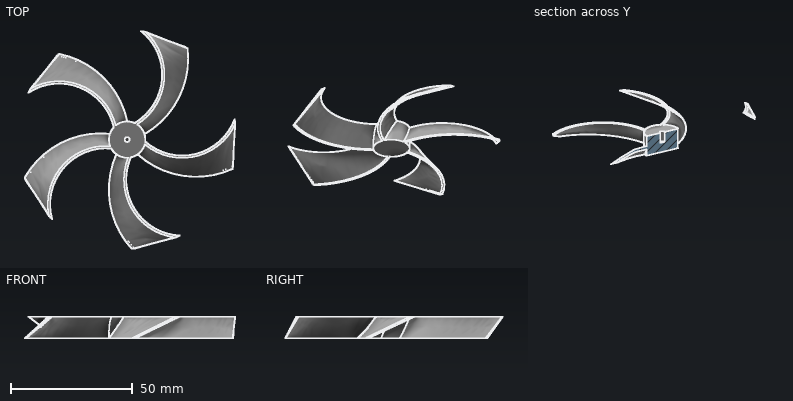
import cadquery as cq
import math

HEIGHT = 9.0
HUB_RADIUS = 7.5
BORE_RADIUS = 1.0
BORE_DEPTH = HEIGHT / 2

BLADE_COUNT = 5
BLADE_PITCH = 360.0 / BLADE_COUNT
BLADE_THICKNESS = 1.0
TIP_RADIUS = 45.0
ROOT_RADIUS = 6.0
STRIP_DIRECTION = BLADE_PITCH / 2

BOTTOM_ARC_RADIUS = 36.0
BOTTOM_CENTRE_DISTANCE = 35.1
TOP_ARC_RADIUS = 24.0
TOP_CENTRE_DISTANCE = 28.0


def polar(radius, angle):
    """Point at a polar radius and angle in degrees."""
    return radius * math.cos(math.radians(angle)), radius * math.sin(math.radians(angle))


def arc_point(radius, arc_radius, centre_distance):
    """Point where a strip arc crosses a circle of the given radius about the hub axis."""
    cosine = (radius**2 + centre_distance**2 - arc_radius**2) / (2 * radius * centre_distance)
    return polar(radius, STRIP_DIRECTION - math.degrees(math.acos(cosine)))


def arc_middle(start, end, arc_radius, centre):
    """Point on the strip arc halfway between its start and end."""
    offset_x = (start[0] + end[0]) / 2 - centre[0]
    offset_y = (start[1] + end[1]) / 2 - centre[1]
    stretch = arc_radius / math.hypot(offset_x, offset_y)
    return centre[0] + offset_x * stretch, centre[1] + offset_y * stretch


def circle_middle(start, end):
    """Point midway between two points of a circle about the hub axis."""
    return arc_middle(start, end, math.hypot(*start), (0, 0))


def strip_wire(arc_radius, centre_distance, z):
    """Closed outline between two concentric arcs, ended by the root and tip circles."""
    inner_radius = arc_radius - BLADE_THICKNESS
    centre = polar(centre_distance, STRIP_DIRECTION)
    outer_root = arc_point(ROOT_RADIUS, arc_radius, centre_distance)
    outer_tip = arc_point(TIP_RADIUS, arc_radius, centre_distance)
    inner_root = arc_point(ROOT_RADIUS, inner_radius, centre_distance)
    inner_tip = arc_point(TIP_RADIUS, inner_radius, centre_distance)
    outline = (
        cq.Workplane("XY", origin=(0, 0, z))
        .moveTo(*outer_root)
        .threePointArc(arc_middle(outer_root, outer_tip, arc_radius, centre), outer_tip)
        .threePointArc(circle_middle(outer_tip, inner_tip), inner_tip)
        .threePointArc(arc_middle(inner_tip, inner_root, inner_radius, centre), inner_root)
        .threePointArc(circle_middle(inner_root, outer_root), outer_root)
        .close()
    )
    return outline.wires().val()


def make_blade():
    bottom = strip_wire(BOTTOM_ARC_RADIUS, BOTTOM_CENTRE_DISTANCE, 0)
    top = strip_wire(TOP_ARC_RADIUS, TOP_CENTRE_DISTANCE, HEIGHT)
    return cq.Workplane(cq.Solid.makeLoft([bottom, top], True))


propeller = cq.Workplane("XY").circle(HUB_RADIUS).extrude(HEIGHT)
blade = make_blade()
for index in range(BLADE_COUNT):
    propeller = propeller.union(blade.rotate((0, 0, 0), (0, 0, 1), index * BLADE_PITCH))

bore = cq.Workplane("XY", origin=(0, 0, HEIGHT)).circle(BORE_RADIUS).extrude(-BORE_DEPTH)
result = propeller.cut(bore)